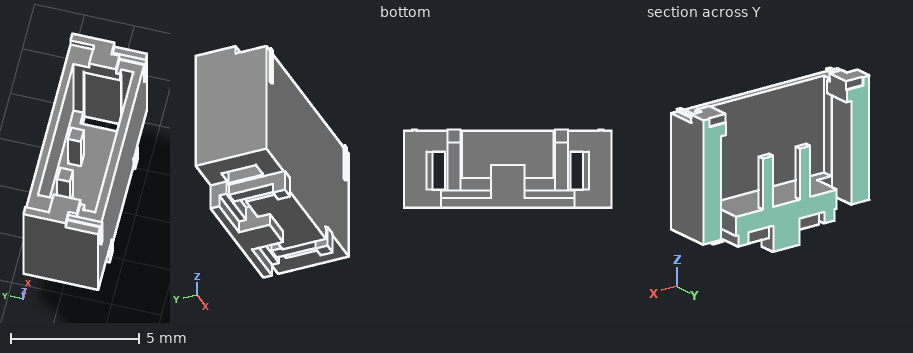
import cadquery as cq

LENGTH = 8.1
DEPTH = 3.005
TOTAL_HEIGHT = 6.3
BODY_BOTTOM = 1.09
EAR_HEIGHT = 0.35
RIM_TOP = TOTAL_HEIGHT - EAR_HEIGHT
HALF_LENGTH = LENGTH / 2
PROUD = 0.05

CAVITY_FLOOR = 1.9
CAVITY_HALF_LENGTH = 2.93
CAVITY_BACK = 0.315
CAVITY_FRONT = 2.665
KEY_HALF_LENGTH = 3.14
KEY_BACK = 2.18
WINDOW_INNER_X = 2.455
WINDOW_OUTER_X = 3.17
WINDOW_BACK = 0.71
WINDOW_TOP = RIM_TOP - 0.535

EAR_RIB_WIDTH = 0.315
EAR_RIB_FRONT = 1.69
STRIP_WIDTH = 0.195
STRIP_OUTER_X = HALF_LENGTH - EAR_RIB_WIDTH
STRIP_INNER_X = STRIP_OUTER_X - STRIP_WIDTH
STRIP_TOP = RIM_TOP + 0.08
STRIP_BOTTOM = TOTAL_HEIGHT - 1.815
EAR_PAD_BACK = 0.95
EAR_PAD_FRONT = 2.02

PIN_SIZE = 0.51
PIN_X = 0.9
PIN_BACK = 0.66
PIN_FRONT = PIN_BACK + PIN_SIZE
PIN_TOP = RIM_TOP - 1.92

STEP_Z = 0.51
RAIL_HALF_LENGTH = 2.59
RAIL_UPPER_DEPTH = 0.67
RAIL_LOWER_DEPTH = 0.37
PLINTH_HALF_LENGTH = 1.79
FOOT_HALF_WIDTH = 0.65
FOOT_FRONT = 1.68
LEG_INNER_X = 1.84
LEG_OUTER_X = LEG_INNER_X + PIN_SIZE
LEG_ARM_THICKNESS = 0.48
LEG_BOTTOM = 0.21


def block(x_range, depth_range, z_range):
    """Box between two X values, two depths behind-to-front, and two heights."""
    x0, x1 = x_range
    back, front = depth_range
    z0, z1 = z_range
    return cq.Workplane("XY").box(x1 - x0, front - back, z1 - z0, centered=False).translate((x0, -front, z0))


def centred_block(half_length, depth_range, z_range):
    return block((-half_length, half_length), depth_range, z_range)


def pair(x_range, depth_range, z_range):
    """A box on the +X side together with its mirror image."""
    right = block(x_range, depth_range, z_range)
    return right.add(right.mirror("YZ")).combine()


def make_housing():
    body = centred_block(HALF_LENGTH, (0, DEPTH), (BODY_BOTTOM, RIM_TOP))
    cavity_z = (CAVITY_FLOOR, RIM_TOP)
    body = body.cut(centred_block(CAVITY_HALF_LENGTH, (CAVITY_BACK, CAVITY_FRONT), cavity_z))
    body = body.cut(centred_block(KEY_HALF_LENGTH, (KEY_BACK, CAVITY_FRONT), cavity_z))
    window_z = (BODY_BOTTOM, WINDOW_TOP)
    return body.cut(pair((WINDOW_INNER_X, WINDOW_OUTER_X), (WINDOW_BACK, KEY_BACK), window_z))


def add_ears(body):
    ear_z = (RIM_TOP, TOTAL_HEIGHT)
    body = body.union(pair((STRIP_OUTER_X, HALF_LENGTH), (0, EAR_RIB_FRONT), ear_z))
    body = body.union(pair((STRIP_INNER_X, STRIP_OUTER_X), (EAR_PAD_BACK, EAR_RIB_FRONT), ear_z))
    return body.union(pair((CAVITY_HALF_LENGTH, STRIP_INNER_X), (EAR_PAD_BACK, EAR_PAD_FRONT), ear_z))


def add_strips(body):
    strip_x = (STRIP_INNER_X, STRIP_OUTER_X)
    front = DEPTH + PROUD
    body = body.union(pair(strip_x, (EAR_RIB_FRONT, front), (RIM_TOP, STRIP_TOP)))
    return body.union(pair(strip_x, (DEPTH, front), (STRIP_BOTTOM, RIM_TOP)))


def add_pins(body):
    pin_x = (PIN_X - PIN_SIZE / 2, PIN_X + PIN_SIZE / 2)
    return body.union(pair(pin_x, (PIN_BACK, PIN_FRONT), (CAVITY_FLOOR, PIN_TOP)))


def add_underside(body):
    upper_z = (STEP_Z, BODY_BOTTOM)
    lower_z = (0, STEP_Z)
    body = body.union(centred_block(RAIL_HALF_LENGTH, (0, RAIL_UPPER_DEPTH), upper_z))
    body = body.union(centred_block(RAIL_HALF_LENGTH, (0, RAIL_LOWER_DEPTH), lower_z))
    body = body.union(centred_block(PLINTH_HALF_LENGTH, (PIN_FRONT, DEPTH), upper_z))
    body = body.union(centred_block(FOOT_HALF_WIDTH, (RAIL_UPPER_DEPTH, PIN_FRONT), upper_z))
    return body.union(centred_block(FOOT_HALF_WIDTH, (RAIL_LOWER_DEPTH, FOOT_FRONT), lower_z))


def add_legs(body):
    leg_x = (LEG_INNER_X, LEG_OUTER_X)
    front = DEPTH + PROUD
    arm_bottom = BODY_BOTTOM - LEG_ARM_THICKNESS
    body = body.union(pair(leg_x, (RAIL_UPPER_DEPTH, front), (arm_bottom, BODY_BOTTOM)))
    return body.union(pair(leg_x, (front - PIN_SIZE, front), (LEG_BOTTOM, arm_bottom)))


result = make_housing()
for add_feature in (add_ears, add_strips, add_pins, add_underside, add_legs):
    result = add_feature(result)